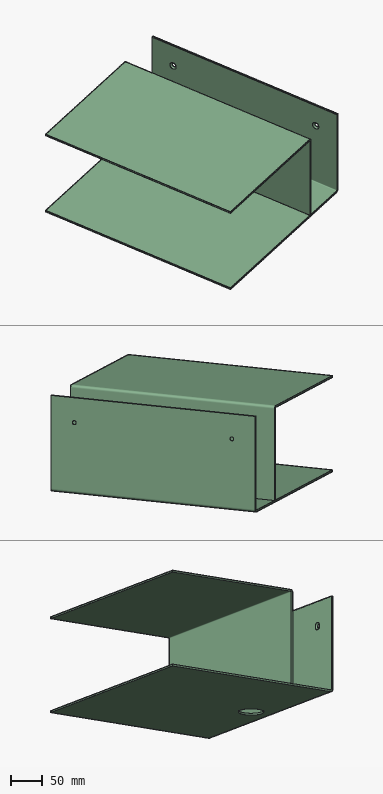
import cadquery as cq

width = 350.0
depth = 300.0
height = 155.0
sheet = 3.0
inner_bend_radius = 1.5
channel_gap = 72.0
cable_hole_diameter = 40.0
screw_hole_diameter = 6.2
countersink_diameter = 12.0
countersink_angle = 90.0
screw_hole_inset = 40.0

outer_bend_radius = inner_bend_radius + sheet
wall_front_y = -sheet
upright_back_y = wall_front_y - channel_gap
upright_front_y = upright_back_y - sheet
shelf_underside_z = height - sheet
channel_middle_y = (wall_front_y + upright_back_y) / 2
screw_hole_x = width / 2 - screw_hole_inset
screw_hole_z = height - screw_hole_inset


def extrude_along_x(profile):
    """Extrude a closed YZ profile across the full width, centred on X = 0."""
    return profile.extrude(width / 2, both=True)


def make_base():
    """L-shaped bracket: wall plate bent into the bottom plate, with its holes."""
    profile = (
        cq.Workplane("YZ")
        .moveTo(0, height)
        .lineTo(0, outer_bend_radius)
        .radiusArc((-outer_bend_radius, 0), outer_bend_radius)
        .lineTo(-depth, 0)
        .lineTo(-depth, sheet)
        .lineTo(-outer_bend_radius, sheet)
        .radiusArc((wall_front_y, outer_bend_radius), -inner_bend_radius)
        .lineTo(wall_front_y, height)
        .close()
    )
    cable_hole = (
        cq.Workplane("XY")
        .center(0, channel_middle_y)
        .circle(cable_hole_diameter / 2)
        .extrude(sheet)
    )
    wall_holes_centre = (0, wall_front_y, screw_hole_z)
    return (
        extrude_along_x(profile)
        .cut(cable_hole)
        .copyWorkplane(cq.Workplane("XZ", origin=wall_holes_centre))
        .pushPoints([(-screw_hole_x, 0), (screw_hole_x, 0)])
        .cskHole(screw_hole_diameter, countersink_diameter, countersink_angle)
    )


def make_shelf():
    """L-shaped shelf: upright standing on the bottom plate, bent forward into the top plate."""
    bend_end_y = upright_back_y - outer_bend_radius
    bend_start_z = height - outer_bend_radius
    profile = (
        cq.Workplane("YZ")
        .moveTo(upright_back_y, sheet)
        .lineTo(upright_back_y, bend_start_z)
        .radiusArc((bend_end_y, height), -outer_bend_radius)
        .lineTo(-depth, height)
        .lineTo(-depth, shelf_underside_z)
        .lineTo(bend_end_y, shelf_underside_z)
        .radiusArc((upright_front_y, bend_start_z), inner_bend_radius)
        .lineTo(upright_front_y, sheet)
        .close()
    )
    return extrude_along_x(profile)


base = make_base()
shelf = make_shelf()

result = cq.Compound.makeCompound([base.val(), shelf.val()])